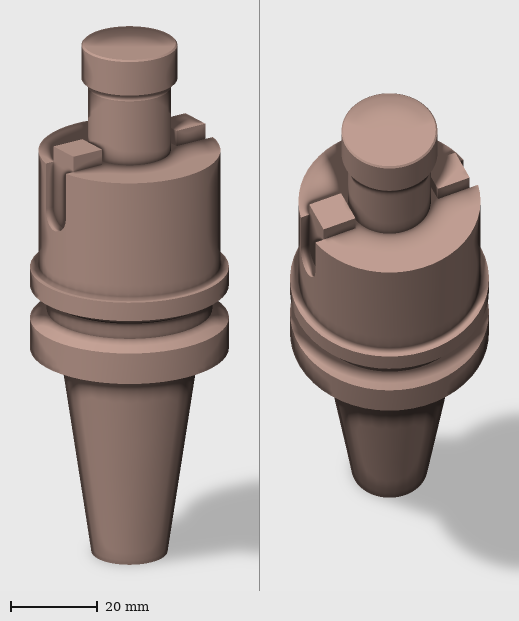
import cadquery as cq

total_height = 126.0
flange_bottom = 50.4
flange_top = 70.6
body_top = 99.5
arbor_top = 117.0

taper_small_radius = 8.8
taper_large_radius = 15.9
gauge_collar_height = 2.0

flange_radius = 23.0
groove_radius = 19.2
groove_lower_edge = 58.0
groove_upper_edge = 66.0
groove_flank_height = 2.1

body_radius = 21.0
body_root_fillet = 0.8
arbor_radius = 9.6
arbor_chamfer_width = 0.8
arbor_chamfer_height = 1.6

key_width = 8.1
key_outer_face = 18.5
key_inner_face = key_outer_face - key_width
key_top = 103.2
slot_bottom = 84.1
slot_arc_center = slot_bottom + key_width / 2

head_radius = 11.1
head_chamfer = 0.4


def revolved_holder():
    """Taper, grooved flange, body and arbor as one turned shape."""
    profile = (
        cq.Workplane("XZ")
        .moveTo(0, 0)
        .lineTo(taper_small_radius, 0)
        .lineTo(taper_large_radius, flange_bottom - gauge_collar_height)
        .lineTo(taper_large_radius, flange_bottom)
        .lineTo(flange_radius, flange_bottom)
        .lineTo(flange_radius, groove_lower_edge)
        .lineTo(groove_radius, groove_lower_edge + groove_flank_height)
        .lineTo(groove_radius, groove_upper_edge - groove_flank_height)
        .lineTo(flange_radius, groove_upper_edge)
        .lineTo(flange_radius, flange_top)
        .lineTo(body_radius + body_root_fillet, flange_top)
        .radiusArc((body_radius, flange_top + body_root_fillet), body_root_fillet)
        .lineTo(body_radius, body_top)
        .lineTo(arbor_radius, body_top)
        .lineTo(arbor_radius, arbor_top - arbor_chamfer_height)
        .lineTo(arbor_radius - arbor_chamfer_width, arbor_top)
        .lineTo(0, arbor_top)
        .close()
    )
    return profile.revolve(360, (0, 0, 0), (0, 1, 0))


def slot_cutter():
    """Round-bottomed slot from the key's outer face out through the body wall."""
    return (
        cq.Workplane("XZ", origin=(0, -key_outer_face, 0))
        .moveTo(-key_width / 2, body_top)
        .lineTo(-key_width / 2, slot_arc_center)
        .threePointArc((0, slot_bottom), (key_width / 2, slot_arc_center))
        .lineTo(key_width / 2, body_top)
        .close()
        .extrude(body_radius - key_outer_face)
    )


def drive_key():
    """Square key standing above the top face of the body."""
    key_center = (key_inner_face + key_outer_face) / 2
    return (
        cq.Workplane("XY", origin=(0, -key_center, body_top))
        .rect(key_width, key_width)
        .extrude(key_top - body_top)
    )


def make_holder():
    """Turned holder with two opposite drive keys and their slots."""
    holder = revolved_holder()
    for angle in (0, 180):
        holder = holder.cut(slot_cutter().rotate((0, 0, 0), (0, 0, 1), angle))
        holder = holder.union(drive_key().rotate((0, 0, 0), (0, 0, 1), angle))
    return holder.solids()


def make_screw_head():
    """Plain disc head seated on the end of the arbor, chamfered on both rims."""
    return (
        cq.Workplane("XY", origin=(0, 0, arbor_top))
        .circle(head_radius)
        .extrude(total_height - arbor_top)
        .faces("<Z or >Z")
        .edges()
        .chamfer(head_chamfer)
    )


holder = make_holder()
screw_head = make_screw_head()
result = cq.Compound.makeCompound([holder.val(), screw_head.val()])